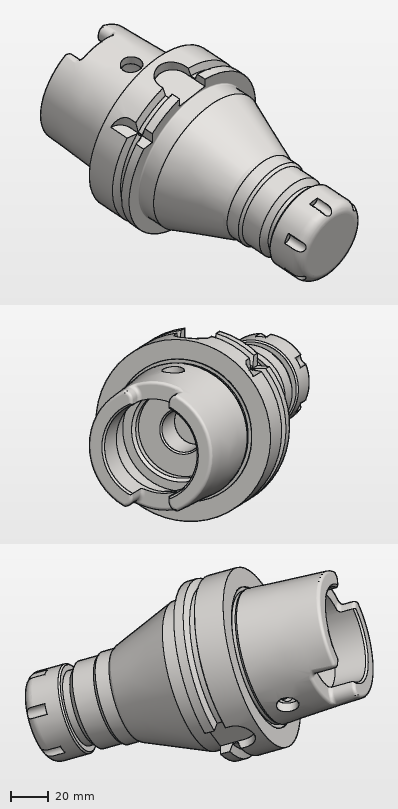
import cadquery as cq
import math

BIG = 120.0

shank_length = 50.0
shank_root_radius = 37.8
taper_slope = 0.05
shank_tip_radius = shank_root_radius - taper_slope * shank_length
shank_edge_fillet = 1.8
relief_width = 2.3
relief_radius = 37.0
face_recess_radius = 39.2
face_recess_depth = 0.8

mouth_radius = 27.6
bore_radius = 26.5
bore_length = 19.0
clamp_radius = 31.5
bore_floor_x = -8.0
counterbore_radius = 24.8
counterbore_floor_x = -2.0
centre_hole_mouth_radius = 12.6
centre_hole_radius = 11.7
centre_hole_length = 20.0

slot_half_width = 10.3
slot_lip_radius = 5.0
slot_lip_height = 32.0
slot_depth_top = 9.8
slot_depth_bottom = 14.7
slot_floor_fillet = 2.2
cross_hole_diameter = 12.0
cross_hole_x = -15.2

flange_radius = 50.0
flange_width = 29.0
groove_centre_x = 20.2
groove_bottom_radius = 45.5
groove_top_width = 6.6
groove_bottom_width = 3.1
keyway_width = 20.0
keyway_floor = 43.5
keyway_start_x = 4.8
notch_floor_z = 32.0
notch_wall_y = -31.6
notch_start_x = 5.0
notch_tool_radius = 8.0

body_radius = 41.9
body_corner_fillet = 0.8
body_end_x = 39.4
cone_end_x = 76.5
cone_end_radius = 27.2
collar_radius = 25.9
collar_start_x = 78.2
collar_end_x = 86.3
journal_radius = 24.5
journal_start_x = 88.0
journal_end_x = 100.4
neck_radius = 21.0
neck_start_x = 103.5

nut_start_x = 107.7
nut_end_x = 130.0
nut_radius = 25.0
nut_back_chamfer = 0.9
nut_front_fillet = 6.0
nut_slot_count = 6
nut_slot_width = 6.0
nut_slot_start_x = 117.3
nut_slot_centre_radius = 25.0


def turned(half_profile):
    """Revolve an outline drawn as (x, radius) about the X axis."""
    return half_profile.close().revolve(360, (0, 0, 0), (1, 0, 0))


def make_shank():
    """Solid taper shank with the relief groove beside the flange."""
    relief_start_radius = shank_root_radius - taper_slope * relief_width
    return turned(
        cq.Workplane("XY")
        .moveTo(-shank_length, 0)
        .lineTo(-shank_length, shank_tip_radius)
        .lineTo(-relief_width, relief_start_radius)
        .lineTo(-relief_width / 2, relief_radius)
        .lineTo(face_recess_depth, relief_radius)
        .lineTo(face_recess_depth, 0)
    )


def drive_slot(depth):
    """Cutter for the upper drive slot: straight walls that curve outward over rounded lips."""
    lip_y = slot_half_width + slot_lip_radius
    lip_base = slot_lip_height - slot_lip_radius
    bend = slot_lip_radius * math.sqrt(0.5)
    floor_corner_zone = cq.selectors.BoxSelector(
        (-BIG, -lip_y - 1, 1), (BIG, lip_y + 1, slot_lip_height - 1)
    )
    return (
        cq.Workplane("YZ", origin=(-shank_length, 0, 0))
        .moveTo(-slot_half_width, 0)
        .lineTo(slot_half_width, 0)
        .lineTo(slot_half_width, lip_base)
        .threePointArc((lip_y - bend, lip_base + bend), (lip_y, slot_lip_height))
        .lineTo(BIG, slot_lip_height)
        .lineTo(BIG, BIG)
        .lineTo(-BIG, BIG)
        .lineTo(-BIG, slot_lip_height)
        .lineTo(-lip_y, slot_lip_height)
        .threePointArc((bend - lip_y, lip_base + bend), (-slot_half_width, lip_base))
        .close()
        .extrude(depth)
        .faces(">X")
        .edges(floor_corner_zone)
        .fillet(slot_floor_fillet)
    )


def make_bore():
    """Stepped bore with an undercut clamping chamber and a blind centre hole."""
    mouth_chamfer = mouth_radius - bore_radius
    shoulder_x = bore_length - shank_length
    counterbore_chamfer = bore_radius - counterbore_radius
    hole_chamfer = centre_hole_mouth_radius - centre_hole_radius
    return turned(
        cq.Workplane("XY")
        .moveTo(-shank_length, 0)
        .lineTo(-shank_length, mouth_radius)
        .lineTo(-shank_length + mouth_chamfer, bore_radius)
        .lineTo(shoulder_x, bore_radius)
        .lineTo(shoulder_x, clamp_radius)
        .lineTo(bore_floor_x, clamp_radius)
        .lineTo(bore_floor_x, bore_radius)
        .lineTo(bore_floor_x + counterbore_chamfer, counterbore_radius)
        .lineTo(counterbore_floor_x, counterbore_radius)
        .lineTo(counterbore_floor_x, centre_hole_mouth_radius)
        .lineTo(counterbore_floor_x + hole_chamfer, centre_hole_radius)
        .lineTo(counterbore_floor_x + centre_hole_length, centre_hole_radius)
        .lineTo(counterbore_floor_x + centre_hole_length, 0)
    )


def flange_slot(start_x, centre_y, radius, floor_z):
    """Cutter that is open upward and forward, with a half-round closed end."""
    end_x = start_x + radius
    return (
        cq.Workplane("XY", origin=(0, 0, floor_z))
        .moveTo(end_x, centre_y - radius)
        .lineTo(flange_width, centre_y - radius)
        .lineTo(flange_width, centre_y + radius)
        .lineTo(end_x, centre_y + radius)
        .threePointArc((start_x, centre_y), (end_x, centre_y - radius))
        .close()
        .extrude(flange_radius - floor_z)
    )


def make_flange():
    """Flange disc with the gripper groove, face recess, keyways and side notch."""
    flange = turned(
        cq.Workplane("XY")
        .moveTo(face_recess_depth, 0)
        .lineTo(face_recess_depth, face_recess_radius)
        .lineTo(0, face_recess_radius)
        .lineTo(0, flange_radius)
        .lineTo(groove_centre_x - groove_top_width / 2, flange_radius)
        .lineTo(groove_centre_x - groove_bottom_width / 2, groove_bottom_radius)
        .lineTo(groove_centre_x + groove_bottom_width / 2, groove_bottom_radius)
        .lineTo(groove_centre_x + groove_top_width / 2, flange_radius)
        .lineTo(flange_width, flange_radius)
        .lineTo(flange_width, 0)
    )
    keyway = flange_slot(keyway_start_x, 0, keyway_width / 2, keyway_floor)
    opposite_keyway = keyway.rotate((0, 0, 0), (1, 0, 0), 180)
    notch_centre_y = notch_wall_y - notch_tool_radius
    notch = flange_slot(notch_start_x, notch_centre_y, notch_tool_radius, notch_floor_z)
    return flange.cut(keyway).cut(opposite_keyway).cut(notch)


def make_front_body():
    """Front cylinder, cone, collars and neck that carry the nut."""
    corner_x = flange_width + body_corner_fillet
    corner_bend = body_corner_fillet * (1 - math.sqrt(0.5))
    return turned(
        cq.Workplane("XY")
        .moveTo(flange_width, 0)
        .lineTo(flange_width, body_radius + body_corner_fillet)
        .threePointArc((flange_width + corner_bend, body_radius + corner_bend), (corner_x, body_radius))
        .lineTo(body_end_x, body_radius)
        .lineTo(cone_end_x, cone_end_radius)
        .lineTo(collar_start_x, collar_radius)
        .lineTo(collar_end_x, collar_radius)
        .lineTo(journal_start_x, journal_radius)
        .lineTo(journal_end_x, journal_radius)
        .lineTo(neck_start_x, neck_radius)
        .lineTo(nut_start_x, neck_radius)
        .lineTo(nut_start_x, 0)
    )


def make_holder():
    """Complete tool holder as one solid."""
    upper_slot = drive_slot(slot_depth_top)
    lower_slot = drive_slot(slot_depth_bottom).rotate((0, 0, 0), (1, 0, 0), 180)
    slot_wall_zone = cq.selectors.BoxSelector(
        (-BIG, -slot_half_width - slot_lip_radius, -slot_lip_height),
        (BIG, slot_half_width + slot_lip_radius, slot_lip_height),
    )
    shank = make_shank().faces("<X").edges().fillet(shank_edge_fillet)
    shank = shank.cut(upper_slot).cut(lower_slot).clean()
    shank = shank.faces("<X").edges(slot_wall_zone).fillet(shank_edge_fillet)
    cross_hole = (
        cq.Workplane("XY")
        .center(cross_hole_x, 0)
        .circle(cross_hole_diameter / 2)
        .extrude(BIG, both=True)
    )
    return shank.cut(cross_hole).union(make_flange()).union(make_front_body()).cut(make_bore())


def make_nut():
    """Clamping nut with a rounded front edge and wrench slots around it."""
    nut = (
        cq.Workplane("YZ", origin=(nut_start_x, 0, 0))
        .circle(nut_radius)
        .extrude(nut_end_x - nut_start_x)
        .faces("<X").edges().chamfer(nut_back_chamfer)
        .faces(">X").edges().fillet(nut_front_fillet)
    )
    slot = (
        cq.Workplane("YZ", origin=(nut_slot_start_x, 0, nut_slot_centre_radius))
        .circle(nut_slot_width / 2)
        .extrude(nut_end_x - nut_slot_start_x)
    )
    for i in range(nut_slot_count):
        nut = nut.cut(slot.rotate((0, 0, 0), (1, 0, 0), i * 360 / nut_slot_count))
    return nut


holder = make_holder()
nut = make_nut()
result = cq.Compound.makeCompound([holder.val(), nut.val()])